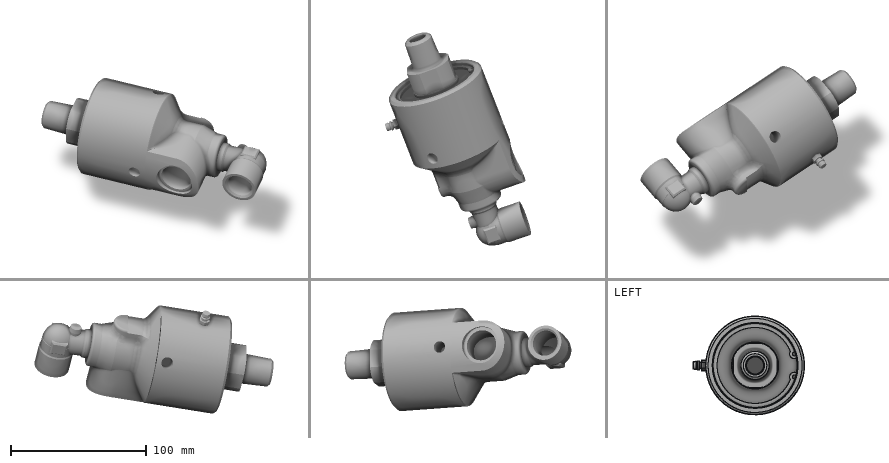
import cadquery as cq
import math

SPINDLE_FILLET_START = 20.0
NUT_START = 21.8
NUT_END = 38.5
BODY_START = 36.5
BODY_END = 90.6
CONE_END = 103.3
NECK_END = 119.6
COLLAR_START = 130.7
COLLAR_END = 137.5
STEP_CHAMFER_START = 141.0
STEP_END = 142.5
ELBOW_X = 160.3

SPINDLE_TIP_R = 10.4
SPINDLE_ROOT_R = 11.1
SPINDLE_CHAMFER = 1.7
NUT_R = 17.42
NUT_HALF_FLATS = 16.1
HUB_GROOVE_WIDTH = 0.5
HUB_GROOVE_DEPTH = 0.5
BODY_R = 36.48
BODY_CHAMFER = 1.7
BODY_END_CHAMFER = 0.5
NECK_R = 19.5
CONE_FILLET = 5.5
COLLAR_R = 16.1
COLLAR_ROUND = 1.7
STEP_R = 10.7
PIPE_R = 9.7

SPINDLE_BORE_D = 12.7
SPINDLE_BORE_CHAMFER = 0.7

RECESS_R = 31.0
RECESS_DEPTH = 4.9
RECESS_CHAMFER = 0.7
RING_INNER_R = 28.0
RING_THICKNESS = 2.0
LUG_PIN_D = 2.8
LUG_R = 3.5
LUG_Y = -29.0
LUG_Z = 8.5

PORT_X = 113.4
PORT_BOSS_R = 19.0
PORT_SINK_D = 27.7
PORT_SINK_FLOOR_Y = 32.0
PORT_D = 22.7
PORT_CORE_D = 30.0
PORT_BOSS_FILLET = 1.5

REAR_BOSS_HALF = 10.2
REAR_BOSS_R = 25.7
REAR_BOSS_FILLET = 6.0
REAR_BOSS_END_Y = 25.3
REAR_BOSS_ROUND = 1.7

DRAIN_X = 82.2
DRAIN_D = 8.7
DRAIN_DEPTH = 17.3
DRAIN_COUNT = 3

NIPPLE_X = 58.2
NIPPLE_HEX_D = 8.0
NIPPLE_HEX_TOP = 39.5
NIPPLE_TOP = 45.85

ELBOW_R = 12.3
BALL_R = 12.0
ELBOW_COLLAR_R = 13.0
ELBOW_COLLAR_START = 9.0
ELBOW_COLLAR_CHAMFER = 1.0
ELBOW_LENGTH = 26.0
ELBOW_BORE_D = 19.0
ELBOW_BORE_MOUTH_D = 21.8
ELBOW_BORE_DEPTH = 25.3
ELBOW_BORE_TIP_ANGLE = 118.0
CROSS_BORE_D = 8.0
PAD_LENGTH = 11.8
PAD_WIDTH = 10.0
PAD_HEIGHT = 12.8
PAD_CHAMFER = 1.0
STUD_X = 150.1
STUD_D = 9.4
STUD_TOP_D = 8.0
STUD_TOP = 13.9
STUD_SHOULDER = 10.7

ALONG_Y = cq.selectors.ParallelDirSelector(cq.Vector(0, 1, 0))


def rod(radius, start, end):
    """Cylinder on the main axis between two X stations."""
    return cq.Workplane("YZ", origin=(start, 0, 0)).circle(radius).extrude(end - start)


def y_rod(x, radius, start, end):
    """Cylinder parallel to Y between two Y stations."""
    return cq.Workplane("XZ", origin=(x, start, 0)).circle(radius).extrude(start - end)


def turned_along_y(x, profile):
    """Solid turned about a line parallel to Y; the profile lists (radius, y) points."""
    points = [(x + radius, y) for radius, y in profile]
    return cq.Workplane("XY").polyline(points).close().revolve(360, (x, 0, 0), (x, 1, 0))


def tongue(half_width, near, far):
    """Flat-sided slab with a round +X end about the port axis, between two Y stations."""
    return (
        cq.Workplane("XZ", origin=(0, near, 0))
        .moveTo(BODY_END - BODY_END_CHAMFER, -half_width)
        .lineTo(PORT_X, -half_width)
        .threePointArc((PORT_X + half_width, 0), (PORT_X, half_width))
        .lineTo(BODY_END - BODY_END_CHAMFER, half_width)
        .close()
        .extrude(near - far)
    )


def make_spindle():
    fillet = NUT_START - SPINDLE_FILLET_START
    diagonal = fillet * math.sqrt(0.5)
    turned = (
        cq.Workplane("XY")
        .lineTo(0, SPINDLE_TIP_R - SPINDLE_CHAMFER)
        .lineTo(SPINDLE_CHAMFER, SPINDLE_TIP_R)
        .lineTo(SPINDLE_FILLET_START, SPINDLE_ROOT_R)
        .threePointArc(
            (SPINDLE_FILLET_START + diagonal, SPINDLE_ROOT_R + fillet - diagonal),
            (NUT_START, SPINDLE_ROOT_R + fillet),
        )
        .lineTo(NUT_START, 0)
        .close()
        .revolve(360, (0, 0, 0), (1, 0, 0))
    )
    square = cq.Workplane("YZ", origin=(NUT_START, 0, 0)).rect(2 * NUT_HALF_FLATS, 2 * NUT_HALF_FLATS)
    nut = rod(NUT_R, NUT_START, NUT_END).intersect(square.extrude(NUT_END - NUT_START))
    groove_end = NUT_END + HUB_GROOVE_WIDTH
    groove = rod(NUT_R - HUB_GROOVE_DEPTH, NUT_END, groove_end)
    hub = rod(NUT_R, groove_end, BODY_START + RECESS_DEPTH)
    return turned.union(nut).union(groove).union(hub)


def make_body():
    housing = (
        cq.Workplane("XY")
        .moveTo(BODY_START, 0)
        .lineTo(BODY_START, BODY_R - BODY_CHAMFER)
        .lineTo(BODY_START + BODY_CHAMFER, BODY_R)
        .lineTo(BODY_END - BODY_END_CHAMFER, BODY_R)
        .lineTo(BODY_END, BODY_R - BODY_END_CHAMFER)
        .lineTo(CONE_END, NECK_R)
        .lineTo(NECK_END, NECK_R)
        .lineTo(COLLAR_START, COLLAR_R)
        .lineTo(COLLAR_END, COLLAR_R)
        .lineTo(COLLAR_END, 0)
        .close()
        .revolve(360, (0, 0, 0), (1, 0, 0))
    )
    cone_corner = cq.selectors.BoxSelector(
        (CONE_END - 0.2, -2 * NECK_R, -2 * NECK_R), (CONE_END + 0.2, 2 * NECK_R, 2 * NECK_R)
    )
    housing = housing.edges(cone_corner).fillet(CONE_FILLET)
    return housing.faces(">X").edges().fillet(COLLAR_ROUND)


def add_port_boss(body):
    boss = tongue(PORT_BOSS_R, 0, -BODY_R)
    boss = boss.intersect(rod(BODY_R, 0, COLLAR_END))
    body = body.union(boss).clean()
    round_end_foot = cq.selectors.BoxSelector(
        (PORT_X, -NECK_R, -NECK_R), (PORT_X + PORT_BOSS_R + 0.2, -3.5, NECK_R)
    )
    return body.edges(round_end_foot - ALONG_Y).fillet(PORT_BOSS_FILLET)


def add_rear_boss(body):
    crowned = tongue(REAR_BOSS_HALF, REAR_BOSS_R, 0)
    crowned = crowned.intersect(rod(REAR_BOSS_R, 0, PORT_X))
    disc = y_rod(PORT_X, REAR_BOSS_HALF, REAR_BOSS_END_Y, 0)
    disc = disc.faces(">Y").edges().fillet(REAR_BOSS_ROUND)
    disc = disc.intersect(rod(BODY_R, PORT_X, COLLAR_END))
    body = body.union(crowned.union(disc)).clean()

    cone_slope = (CONE_END - BODY_END) / (BODY_R - BODY_END_CHAMFER - NECK_R)
    crown_start = CONE_END - (REAR_BOSS_R - NECK_R) * cone_slope
    end = PORT_X + REAR_BOSS_HALF
    half = REAR_BOSS_HALF
    side_top = math.sqrt(REAR_BOSS_R**2 - half**2)
    foot = cq.selectors.BoxSelector((crown_start, 0, -half), (end + 0.2, side_top - 0.2, half))
    crown_foot = cq.selectors.BoxSelector(
        (crown_start - 0.2, side_top, -half), (crown_start + 0.2, REAR_BOSS_R, half)
    )
    return body.edges((foot + crown_foot) - ALONG_Y).fillet(REAR_BOSS_FILLET)


def cut_recess(body):
    floor = BODY_START + RECESS_DEPTH
    recess = (
        cq.Workplane("XY")
        .moveTo(BODY_START, 0)
        .lineTo(BODY_START, RECESS_R + RECESS_CHAMFER)
        .lineTo(BODY_START + RECESS_CHAMFER, RECESS_R)
        .lineTo(floor, RECESS_R)
        .lineTo(floor, 0)
        .close()
        .revolve(360, (0, 0, 0), (1, 0, 0))
    )
    return body.cut(recess)


def make_ring():
    """Open retaining ring with two pierced lugs, seated in the front recess."""
    end = BODY_START + RECESS_DEPTH
    start = end - RING_THICKNESS
    ring = rod(RECESS_R, start, end).cut(rod(RING_INNER_R, start, end))
    gap = cq.Workplane("YZ", origin=(start, 0, 0)).center(-BODY_R / 2, 0)
    ring = ring.cut(gap.rect(BODY_R, 2 * LUG_Z).extrude(RING_THICKNESS))
    lug_centres = [(LUG_Y, LUG_Z), (LUG_Y, -LUG_Z)]
    lugs = cq.Workplane("YZ", origin=(start, 0, 0)).pushPoints(lug_centres)
    ring = ring.union(lugs.circle(LUG_R).extrude(RING_THICKNESS))
    pins = cq.Workplane("YZ", origin=(start, 0, 0)).pushPoints(lug_centres)
    ring = ring.cut(pins.circle(LUG_PIN_D / 2).extrude(RING_THICKNESS))
    return ring.intersect(rod(RECESS_R, start, end))


def cut_port(body):
    sink = y_rod(PORT_X, PORT_SINK_D / 2, -PORT_SINK_FLOOR_Y, -BODY_R - 1.7)
    bore = y_rod(PORT_X, PORT_D / 2, 0, -BODY_R)
    bore = bore.cut(rod(PORT_CORE_D / 2, 0, COLLAR_END))
    return body.cut(sink).cut(bore)


def cut_drains(body):
    drain = y_rod(DRAIN_X, DRAIN_D / 2, -(BODY_R - DRAIN_DEPTH), -BODY_R - 1.7)
    for index in range(DRAIN_COUNT):
        body = body.cut(drain.rotate((0, 0, 0), (1, 0, 0), index * 360 / DRAIN_COUNT))
    return body


def make_nipple():
    hexagon = (
        cq.Workplane("XZ", origin=(NIPPLE_X, NIPPLE_HEX_TOP, 0))
        .polygon(6, NIPPLE_HEX_D)
        .extrude(NIPPLE_HEX_TOP - BODY_R + 1.7)
        .rotate((NIPPLE_X, 0, 0), (NIPPLE_X, 1, 0), 90)
    )
    stem = turned_along_y(
        NIPPLE_X,
        [
            (0, NIPPLE_HEX_TOP),
            (2.5, NIPPLE_HEX_TOP),
            (2.5, 40.5),
            (3.5, 41.3),
            (3.5, 42.3),
            (2.6, 42.8),
            (3.1, 43.7),
            (2.69, NIPPLE_TOP),
            (0, NIPPLE_TOP),
        ],
    )
    return hexagon.union(stem)


def make_elbow():
    pipe = (
        cq.Workplane("XY")
        .moveTo(COLLAR_END, 0)
        .lineTo(COLLAR_END, STEP_R)
        .lineTo(STEP_CHAMFER_START, STEP_R)
        .lineTo(STEP_END, PIPE_R)
        .lineTo(ELBOW_X, PIPE_R)
        .lineTo(ELBOW_X, 0)
        .close()
        .revolve(360, (0, 0, 0), (1, 0, 0))
    )
    shoulder = ELBOW_COLLAR_START - ELBOW_COLLAR_CHAMFER
    drop = turned_along_y(
        ELBOW_X,
        [
            (0, 0),
            (ELBOW_R, 0),
            (ELBOW_R, -shoulder),
            (ELBOW_COLLAR_R, -ELBOW_COLLAR_START),
            (ELBOW_COLLAR_R, -ELBOW_LENGTH),
            (0, -ELBOW_LENGTH),
        ],
    )
    ball = cq.Workplane("XY", origin=(ELBOW_X, 0, 0)).sphere(BALL_R)
    pads = (
        cq.Workplane("XY", origin=(ELBOW_X, 0, 0))
        .box(PAD_LENGTH, PAD_WIDTH, 2 * PAD_HEIGHT)
        .faces("|Z")
        .edges()
        .chamfer(PAD_CHAMFER)
    )
    stud = turned_along_y(
        STUD_X,
        [
            (0, 0),
            (STUD_D / 2, 0),
            (STUD_D / 2, STUD_SHOULDER),
            (STUD_TOP_D / 2, STUD_TOP),
            (0, STUD_TOP),
        ],
    )
    return pipe.union(drop).union(ball).union(pads).union(stud)


def elbow_bore():
    radius = ELBOW_BORE_D / 2
    mouth = ELBOW_BORE_MOUTH_D / 2
    floor = ELBOW_BORE_DEPTH - ELBOW_LENGTH
    tip = floor + radius / math.tan(math.radians(ELBOW_BORE_TIP_ANGLE / 2))
    return turned_along_y(
        ELBOW_X,
        [
            (0, -ELBOW_LENGTH),
            (mouth, -ELBOW_LENGTH),
            (radius, -ELBOW_LENGTH + mouth - radius),
            (radius, floor),
            (0, tip),
        ],
    )


def spindle_bore():
    radius = SPINDLE_BORE_D / 2
    mouth = radius + SPINDLE_BORE_CHAMFER
    return (
        cq.Workplane("XY")
        .lineTo(0, mouth)
        .lineTo(SPINDLE_BORE_CHAMFER, radius)
        .lineTo(BODY_END, radius)
        .lineTo(BODY_END, 0)
        .close()
        .revolve(360, (0, 0, 0), (1, 0, 0))
    )


body = add_port_boss(add_rear_boss(make_body()))
body = cut_drains(cut_port(cut_recess(body)))
result = body.union(make_spindle()).union(make_ring()).union(make_nipple()).union(make_elbow())
result = result.cut(spindle_bore()).cut(elbow_bore())
result = result.cut(rod(CROSS_BORE_D / 2, COLLAR_START, ELBOW_X))